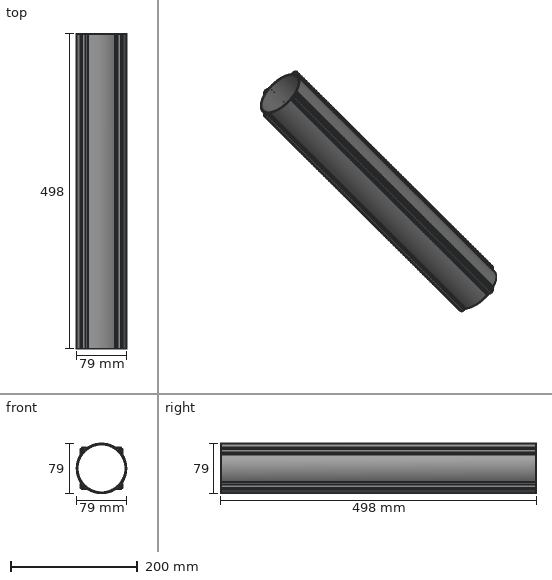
import cadquery as cq

length = 498.0
outer_diameter = 79.0
bore_diameter = 75.0

flat_offset = 33.5
tip_diameter = 90.0
groove_position = 24.5
groove_diameter = 3.0

channel_diameter = 3.0
channel_radial_position = 41.0
slot_width = 2.0

corner_angles = (45, 135, 225, 315)
flat_angles = (0, 90, 180, 270)


def turned(shape, angle):
    """Rotate a shape about the tube axis."""
    return shape.rotate((0, 0, 0), (0, 1, 0), angle)


def bar(center_x, center_z, size_x, size_z):
    """Full-length rectangular bar parallel to the tube axis."""
    return cq.Workplane("XY").box(size_x, length, size_z).translate((center_x, 0, center_z))


def rod(diameter, center_x=0, center_z=0):
    """Full-length round rod parallel to the tube axis."""
    return (
        cq.Workplane("XZ")
        .center(center_x, center_z)
        .circle(diameter / 2)
        .extrude(length / 2, both=True)
    )


def flat_grooves():
    """Pair of half-round grooves in one flat, one beside each corner rib."""
    upper = rod(groove_diameter, flat_offset, groove_position)
    return upper.union(upper.mirror("XY"))


def screw_channel():
    """Round channel with a slot opening radially through the rib tip."""
    slot_length = tip_diameter / 2 - channel_radial_position
    slot = bar(channel_radial_position + slot_length / 2, 0, slot_length, slot_width)
    return rod(channel_diameter, channel_radial_position).union(slot)


square_body = bar(0, 0, 2 * flat_offset, 2 * flat_offset)
for angle in flat_angles:
    square_body = square_body.cut(turned(flat_grooves(), angle))

corner_ribs = square_body.intersect(rod(tip_diameter))
result = corner_ribs.union(rod(outer_diameter)).cut(rod(bore_diameter))
for angle in corner_angles:
    result = result.cut(turned(screw_channel(), angle))